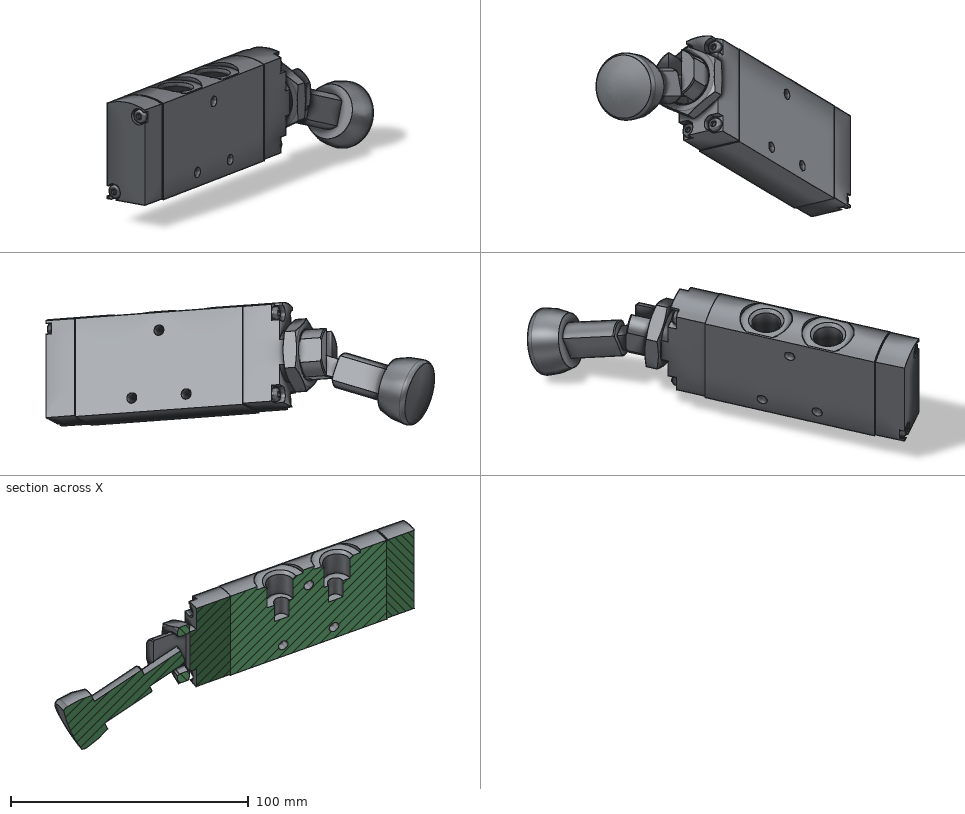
import cadquery as cq
import math


width = 20.0
height = 44.0
crown_drop = 2.0
cap_clearance = 0.5
end_cap_length = 13.3
housing_length = 75.1
rear_cap_length = 16.5
rear_cap_width = 19.4
end_cap_width = 19.7
end_cap_front_width = 19.25
joint_groove_width = 0.4
joint_groove_depth = 0.4

housing_start = end_cap_length
housing_end = housing_start + housing_length
housing_middle = (housing_start + housing_end) / 2
rear_face = housing_end + rear_cap_length
axis_height = 21.25

port_pitch = 27.4
port_diameter = 12.2
port_mouth_diameter = 14.9
port_depth = 12.0
spotface_diameter = 22.0
spotface_depth = 1.75
channel_diameter = 6.8
channel_pitch = 25.9

mount_diameter = 4.4
mount_pitch = 24.4
low_mount_height = 6.2
high_mount_height = 34.4

screw_x = 6.35
screw_offset_z = 17.4
screw_diameter = 3.0
screw_clearance_diameter = 3.1
screw_grip = 6.0
head_diameter = 5.92
head_height = 2.1
head_round = 1.2
socket_diameter = 2.46
socket_depth = 1.2
counterbore_diameter = 7.0
front_counterbore_depth = 2.3
front_side_opening = 4.6
rear_counterbore_depth = 3.7
rear_notch_x = 6.1

collar_diameter = 22.2
neck_diameter = 21.3
neck_flats = 18.8
thread_root_diameter = 20.38
neck_length = 18.7
neck_end_chamfer = 0.5
nut_gap = 3.0
nut_thickness = 6.0
nut_across_flats = 27.0
nut_chamfer_angle = 17.0
nut_countersink_diameter = 22.0

nut_start = rear_face + nut_gap
nut_end = nut_start + nut_thickness
neck_end = rear_face + neck_length

lever_tilt = 19.5
pivot_setback = 0.6
pivot_y = nut_start - pivot_setback
shaft_width = 6.6
shaft_depth = 8.0
shaft_start = 4.0
stem_start = 22.4
stem_diameter = 15.2
stem_width = 10.7
stem_chamfer = 0.5
knob_start = 46.6
knob_face_radius = 11.6
knob_swell = (13.6, 52.3)
knob_widest = (14.195, 58.1)
knob_rim_bulge = (13.88, 59.6)
knob_rim = (13.3, 60.35)
knob_top = 61.5


def along_y(y, x=0, z=0):
    """Work plane across the valve at y, centred on (x, z), with its normal towards +Y."""
    return cq.Workplane(cq.Plane(origin=(x, y, z), xDir=(1, 0, 0), normal=(0, 1, 0)))


def rod(diameter, start, end, x=0, z=axis_height):
    """Round bar along Y."""
    return along_y(start, x, z).circle(diameter / 2).extrude(end - start)


def block(x_range, y_range, z_range):
    """Box between the given limits."""
    sizes = [high - low for low, high in (x_range, y_range, z_range)]
    corner = (x_range[0], y_range[0], z_range[0])
    return cq.Workplane("XY").box(*sizes, centered=False).translate(corner)


def crowned_bar(start, end, bar_width, bottom, top):
    """Bar along Y with straight sides and an arched top."""
    half = bar_width / 2
    shoulder = top - crown_drop
    return (
        cq.Workplane("XZ", origin=(0, start, 0))
        .moveTo(-half, bottom)
        .lineTo(half, bottom)
        .lineTo(half, shoulder)
        .threePointArc((0, top), (-half, shoulder))
        .close()
        .extrude(start - end)
    )


def screw_places(sides):
    """Screw centres (x, z): sides holds pairs of signs for x and for z about the valve axis."""
    return [(sx * screw_x, axis_height + sz * screw_offset_z) for sx, sz in sides]


front_screws = screw_places([(1, 1), (-1, -1)])
rear_screws = screw_places([(1, 1), (1, -1), (-1, 1), (-1, -1)])


def screw_head(x, z, seat, direction):
    """Round socket head that stands on its seat and points along +Y or -Y."""
    head = (
        cq.Workplane("XY")
        .circle(head_diameter / 2)
        .extrude(head_height)
        .faces(">Z")
        .edges()
        .fillet(head_round)
        .faces(">Z")
        .workplane()
        .circle(socket_diameter / 2)
        .cutBlind(-socket_depth)
    )
    return head.rotate((0, 0, 0), (1, 0, 0), -90 * direction).translate((x, seat, z))


def make_front_screw(x, z):
    """Socket screw through the end cap into the housing."""
    seat = front_counterbore_depth
    shank = rod(screw_diameter, seat, housing_start + screw_grip, x, z)
    return screw_head(x, z, seat, -1).union(shank)


def make_housing():
    """Crowned housing with two ports, three mounting holes and a screw hole at two corners."""
    body = crowned_bar(housing_start, housing_end, width, 0, height)
    floor = height - spotface_depth
    for side in (-1, 1):
        port_y = housing_middle + side * port_pitch / 2
        channel_y = housing_middle + side * channel_pitch / 2
        face = cq.Workplane("XY", origin=(0, port_y, floor))
        spotface = face.circle(spotface_diameter / 2).extrude(spotface_depth)
        bore = face.circle(port_diameter / 2).extrude(-port_depth)
        mouth = cq.Workplane("XY").add(
            cq.Solid.makeCone(
                port_mouth_diameter / 2,
                port_diameter / 2,
                (port_mouth_diameter - port_diameter) / 2,
                cq.Vector(0, port_y, floor),
                cq.Vector(0, 0, -1),
            )
        )
        channel = (
            cq.Workplane("XY", origin=(0, channel_y, axis_height))
            .circle(channel_diameter / 2)
            .extrude(floor - port_depth - axis_height)
        )
        body = body.cut(spotface).cut(bore).cut(mouth).cut(channel)

    mount_centres = [
        (housing_middle, high_mount_height),
        (housing_middle - mount_pitch / 2, low_mount_height),
        (housing_middle + mount_pitch / 2, low_mount_height),
    ]
    mounts = (
        cq.Workplane("YZ", origin=(-width / 2, 0, 0))
        .pushPoints(mount_centres)
        .circle(mount_diameter / 2)
        .extrude(width)
    )
    body = body.cut(mounts)
    for x, z in front_screws:
        body = body.cut(rod(screw_diameter, housing_start, housing_start + screw_grip, x, z))
    return body


def make_end_cap():
    """Cap whose sides taper towards the front, with a groove at the joint and two screw pockets."""
    cap = crowned_bar(0, end_cap_length, end_cap_width, cap_clearance, height)
    front_half = end_cap_front_width / 2
    back_half = end_cap_width / 2
    tapered_plan = (
        cq.Workplane("XY")
        .polyline(
            [
                (-front_half, 0),
                (front_half, 0),
                (back_half, end_cap_length),
                (-back_half, end_cap_length),
            ]
        )
        .close()
        .extrude(height)
    )
    cap = cap.intersect(tapered_plan)

    groove_start = end_cap_length - joint_groove_width
    groove_floor = crowned_bar(
        groove_start,
        end_cap_length,
        end_cap_width - 2 * joint_groove_depth,
        cap_clearance,
        height - joint_groove_depth,
    )
    groove_band = block((-width, width), (groove_start, end_cap_length), (0, height))
    cap = cap.cut(groove_band.cut(groove_floor))

    for x, z in front_screws:
        outer_edge = math.copysign(width / 2, x)
        half_opening = front_side_opening / 2
        opening = block(
            sorted((x, outer_edge)), (0, front_counterbore_depth), (z - half_opening, z + half_opening)
        )
        cap = cap.cut(rod(counterbore_diameter, 0, front_counterbore_depth, x, z))
        cap = cap.cut(opening)
        cap = cap.cut(rod(screw_clearance_diameter, 0, end_cap_length, x, z))
    return cap


def flatted_bar(diameter, flats, start, end):
    """Round bar along Y on the valve axis, with flats on its two X sides."""
    sides = block((-flats / 2, flats / 2), (start, end), (0, height))
    return rod(diameter, start, end).intersect(sides)


def make_neck():
    """Flatted neck with a collar at the cap, a thread root inside the nut and a slot for the lever."""
    collar = flatted_bar(collar_diameter, rear_cap_width, rear_face, nut_start)
    root = flatted_bar(thread_root_diameter, neck_flats, nut_start, nut_end)
    tip_round = rod(neck_diameter, nut_end, neck_end).faces(">Y").chamfer(neck_end_chamfer)
    tip_sides = block((-neck_flats / 2, neck_flats / 2), (nut_end, neck_end), (0, height))
    tip = tip_round.intersect(tip_sides)
    slot = block((-shaft_width / 2, shaft_width / 2), (nut_start, neck_end), (0, height))
    return collar.union(root).union(tip).cut(slot)


def make_rear_cap():
    """Cap with four corner pockets, the screw heads seated in them, and the neck for the lever."""
    cap = crowned_bar(housing_end, rear_face, rear_cap_width, cap_clearance, height)
    seat = rear_face - rear_counterbore_depth
    radius = counterbore_diameter / 2
    for x, z in rear_screws:
        x_range = sorted((math.copysign(rear_notch_x, x), math.copysign(width / 2, x)))
        z_range = (z - radius, height) if z > axis_height else (0, z + radius)
        cap = cap.cut(rod(counterbore_diameter, seat, rear_face, x, z))
        cap = cap.cut(block(x_range, (seat, rear_face), z_range))
        cap = cap.union(screw_head(x, z, seat, 1))
    return cap.union(make_neck())


def make_nut():
    """Hexagon nut with a corner at the top, bevelled corners and a countersunk bore."""
    half_sector = 30
    corner_diameter = nut_across_flats / math.cos(math.radians(half_sector))
    hexagon = along_y(nut_start, 0, axis_height).polygon(6, corner_diameter).extrude(nut_thickness)
    hexagon = hexagon.rotate((0, 0, axis_height), (0, 1, axis_height), half_sector)
    face_radius = nut_across_flats / 2
    corner_radius = corner_diameter / 2
    bevel = (corner_radius - face_radius) * math.tan(math.radians(nut_chamfer_angle))
    envelope = (
        cq.Workplane("XY")
        .polyline(
            [
                (0, nut_start),
                (face_radius, nut_start),
                (corner_radius, nut_start + bevel),
                (corner_radius, nut_end - bevel),
                (face_radius, nut_end),
                (0, nut_end),
            ]
        )
        .close()
        .revolve(360, (0, 0, 0), (0, 1, 0))
        .translate((0, 0, axis_height))
    )
    bore = rod(thread_root_diameter, nut_start, nut_end)
    countersink = (nut_countersink_diameter - thread_root_diameter) / 2
    bored = hexagon.intersect(envelope).cut(bore)
    bore_edges = bored.faces("<Y or >Y").edges("%CIRCLE").edges(cq.selectors.RadiusNthSelector(0))
    return bore_edges.chamfer(countersink)


def make_lever():
    """Lever with a rectangular shaft, a flatted stem and a domed knob, tilted down from the axis."""
    half_width = shaft_width / 2
    half_depth = shaft_depth / 2
    shaft = block((-half_width, half_width), (shaft_start, stem_start), (-half_depth, half_depth))
    stem_sides = block(
        (-stem_width / 2, stem_width / 2), (stem_start, knob_start), (-stem_diameter, stem_diameter)
    )
    stem = rod(stem_diameter, stem_start, knob_start, 0, 0).faces("<Y").chamfer(stem_chamfer)
    stem = stem.intersect(stem_sides)

    rim_radius, rim_distance = knob_rim
    dome_rise = knob_top - rim_distance
    dome_radius = (rim_radius**2 + dome_rise**2) / (2 * dome_rise)
    middle_radius = rim_radius / 2
    dome_middle = knob_top - dome_radius + math.sqrt(dome_radius**2 - middle_radius**2)
    knob = (
        cq.Workplane("XY")
        .moveTo(0, knob_start)
        .lineTo(knob_face_radius, knob_start)
        .threePointArc(knob_swell, knob_widest)
        .threePointArc(knob_rim_bulge, knob_rim)
        .threePointArc((middle_radius, dome_middle), (0, knob_top))
        .close()
        .revolve(360, (0, 0, 0), (0, 1, 0))
    )
    lever = shaft.union(stem).union(knob)
    return lever.rotate((0, 0, 0), (1, 0, 0), -lever_tilt).translate((0, pivot_y, axis_height))


housing = make_housing()
end_cap = make_end_cap()
rear_cap = make_rear_cap()
nut = make_nut()
lever = make_lever()
cap_screws = [make_front_screw(x, z) for x, z in front_screws]

result = cq.Compound.makeCompound(
    [
        housing.val(),
        end_cap.val(),
        rear_cap.val(),
        nut.val(),
        lever.val(),
        *[screw.val() for screw in cap_screws],
    ]
)